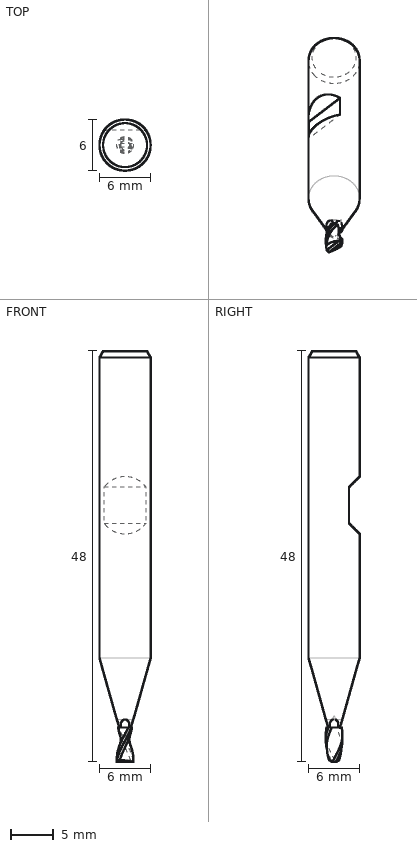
import cadquery as cq
import math

total_length = 48.0
shank_radius = 6.0 / 2
top_chamfer_height = 0.75
top_chamfer_width = 0.45

taper_top = 12.15
neck_top = 5.0
neck_radius = 0.985
neck_cone_top = 4.65
neck_end_radius = 0.8
runout_side_peak = 5.4
runout_front_peak = 5.0
runout_end_distance = 0.65

notch_center = 30.0
notch_floor_length = 4.2
notch_depth = 1.25

cutter_length = 4.05
cutter_radius = 0.985
core_radius = 0.55
land_start_angle = -12.0
margin_end_angle = 12.0
heel_angle = 36.0
heel_radius = 0.85
helix_angle = 28.0
tip_half_width = 0.2
tip_relief_height = 0.5


def polar(radius, degrees):
    angle = math.radians(degrees)
    return (radius * math.cos(angle), radius * math.sin(angle))


def clamping_notch():
    """Trapezoidal notch with 45 degree ends."""
    floor_y = shank_radius - notch_depth
    half_floor = notch_floor_length / 2
    half_mouth = half_floor + notch_depth
    return (
        cq.Workplane("YZ")
        .polyline([
            (floor_y, notch_center - half_floor),
            (shank_radius, notch_center - half_mouth),
            (shank_radius, notch_center + half_mouth),
            (floor_y, notch_center + half_floor),
        ])
        .close()
        .extrude(shank_radius, both=True)
    )


def flute_runout(peak, direction):
    """Wedge that slopes a flat on the neck, facing the given angle about Z."""
    taper_slope = (shank_radius - neck_radius) / (taper_top - neck_top)
    peak_radius = neck_radius + (peak - neck_top) * taper_slope
    return (
        cq.Workplane("XZ")
        .polyline([
            (runout_end_distance, cutter_length),
            (shank_radius, cutter_length),
            (shank_radius, peak),
            (peak_radius, peak),
        ])
        .close()
        .extrude(shank_radius, both=True)
        .rotate((0, 0, 0), (0, 0, 1), direction)
    )


def make_shank():
    body = (
        cq.Workplane("XZ")
        .polyline([
            (0, cutter_length),
            (neck_end_radius, cutter_length),
            (neck_radius, neck_cone_top),
            (neck_radius, neck_top),
            (shank_radius, taper_top),
            (shank_radius, total_length - top_chamfer_height),
            (shank_radius - top_chamfer_width, total_length),
            (0, total_length),
        ])
        .close()
        .revolve(360, (0, 0), (0, 1))
        .cut(clamping_notch())
    )
    for direction in (0, 180):
        body = body.cut(flute_runout(runout_side_peak, direction))
    for direction in (90, 270):
        body = body.cut(flute_runout(runout_front_peak, direction))
    return body


def tip_relief(direction):
    """Wedge that slopes the tip upwards away from the cutting edge."""
    return (
        cq.Workplane("YZ")
        .polyline([
            (tip_half_width, 0),
            (cutter_radius, 0),
            (cutter_radius, tip_relief_height),
        ])
        .close()
        .extrude(cutter_radius, both=True)
        .rotate((0, 0, 0), (0, 0, 1), direction)
    )


def make_cutter():
    """Right-hand helix with two concave flutes and two lands, each a round margin and a flat relief."""
    twist = math.degrees(cutter_length * math.tan(math.radians(helix_angle)) / cutter_radius)
    margin_middle = (land_start_angle + margin_end_angle) / 2
    flute_middle = (heel_angle + 180 + land_start_angle) / 2
    section = cq.Workplane("XY").moveTo(*polar(cutter_radius, land_start_angle))
    for land in (0, 180):
        section = (
            section
            .threePointArc(
                polar(cutter_radius, land + margin_middle),
                polar(cutter_radius, land + margin_end_angle),
            )
            .lineTo(*polar(heel_radius, land + heel_angle))
            .threePointArc(
                polar(core_radius, land + flute_middle),
                polar(cutter_radius, land + 180 + land_start_angle),
            )
        )
    body = section.close().twistExtrude(cutter_length, twist)
    for direction in (0, 180):
        body = body.cut(tip_relief(direction))
    return body


shank = make_shank()
cutter = make_cutter()
result = cq.Compound.makeCompound([shank.val(), cutter.val()])